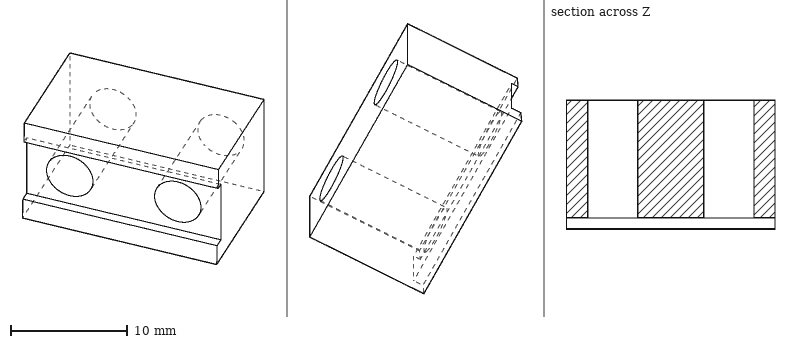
import cadquery as cq
import math

length = 18.0
height = 10.0
base_depth = 11.15
front_lean = 2.5
top_depth = base_depth - height * math.tan(math.radians(front_lean))

groove_floor_depth = 10.15
lip_height = 2.0

hole_diameter = 4.3
hole_spacing = 10.0

block = (
    cq.Workplane("YZ", origin=(-length / 2, 0, 0))
    .polyline([(0, 0), (-base_depth, 0), (-top_depth, height), (0, height)])
    .close()
    .extrude(length)
)

groove = cq.Workplane("XY").box(
    length,
    base_depth - groove_floor_depth,
    height - 2 * lip_height,
    centered=(True, False, False),
).translate((0, -base_depth, lip_height))

holes = (
    cq.Workplane("XZ")
    .pushPoints([(side * hole_spacing / 2, height / 2) for side in (-1, 1)])
    .circle(hole_diameter / 2)
    .extrude(base_depth)
)

result = block.cut(groove).cut(holes)